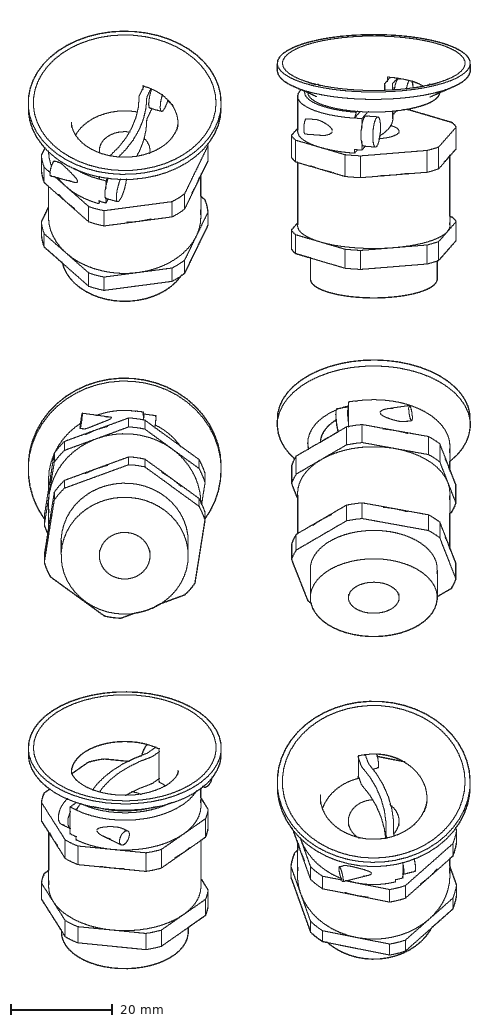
import cadquery as cq
import math

total_height = 44.5
spigot_top = 7.08
lower_nut_top = 11.0
upper_nut_bottom = 26.0
upper_nut_top = 30.5
clamp_body_top = 38.5
clamp_axis_height = 34.5

spigot_radius = 12.5
body_radius = 15.0
cable_hole_radius = 5.0
clamp_bore_radius = 10.5
shoulder_width = 1.4
shoulder_angle = math.radians(30)
nut_sides = 6
nut_across_flats = 2 * body_radius
nut_corner_radius = 16.45

trumpet_radius = 19.0
trumpet_rim_height = 1.5
trumpet_land_width = 1.02
outer_cone_angle = math.radians(29)
inner_cone_angle = math.radians(26)
neck_radius = 13.0
throat_curve_radius = 3.0

clamp_angle = 30
saddle_thickness = 1.5
saddle_height = 6.5
saddle_bow = 1.5
saddle_half_chord = 8.4
screw_offset = 12.73
screw_radius = 1.5
screw_tip_reach = 10.5
screw_head_radius = 3.0
screw_head_height = 2.4


def cylinder(radius, bottom, top):
    """Upright cylinder on the part axis."""
    return cq.Workplane("XY").workplane(offset=bottom).circle(radius).extrude(top - bottom)


def nut(bottom, top):
    """Hexagon nut with flats facing +Y and -Y and rounded corners."""
    across_corners = nut_across_flats / math.cos(math.pi / nut_sides)
    hexagon = (
        cq.Workplane("XY")
        .workplane(offset=bottom)
        .polygon(nut_sides, across_corners)
        .extrude(top - bottom)
    )
    return hexagon.intersect(cylinder(nut_corner_radius, bottom, top))


def clamp_body():
    """Hollow half cylinder with a sloped shoulder, on the -X side of the clamping plane."""
    shoulder_height = shoulder_width * math.tan(shoulder_angle)
    shell = cylinder(body_radius, upper_nut_top, clamp_body_top)
    shell = shell.faces(">Z").chamfer(shoulder_height, shoulder_width)
    shell = shell.cut(cylinder(clamp_bore_radius, upper_nut_top, clamp_body_top))
    half_space = (
        cq.Workplane("XY")
        .workplane(offset=upper_nut_top)
        .center(-body_radius, 0)
        .rect(2 * body_radius, 2 * body_radius)
        .extrude(clamp_body_top - upper_nut_top)
    )
    return shell.intersect(half_space)


def flare(cone_angle, cone_edge, bore_radius, curve_radius):
    """Start, middle and end of the arc that turns a vertical wall outwards, tangent to a cone.

    The cone rises at cone_angle to its upper edge, given as a (radius, height) pair.
    """
    edge_radius, edge_height = cone_edge
    full_turn = math.pi / 2 - cone_angle
    end_radius = bore_radius + curve_radius * (1 - math.cos(full_turn))
    end_height = edge_height - (edge_radius - end_radius) * math.tan(cone_angle)
    start_height = end_height - curve_radius * math.sin(full_turn)
    middle = (
        bore_radius + curve_radius * (1 - math.cos(full_turn / 2)),
        start_height + curve_radius * math.sin(full_turn / 2),
    )
    return (bore_radius, start_height), middle, (end_radius, end_height)


def trumpet():
    """Flared ring: cones outside and inside that run through tangent arcs into neck and throat."""
    outer_edge = (trumpet_radius, total_height - trumpet_rim_height)
    inner_edge = (trumpet_radius - trumpet_land_width, total_height)
    cone_drop = (trumpet_radius - neck_radius) * math.tan(outer_cone_angle)
    arc_rise = math.cos(outer_cone_angle) - (1 - math.sin(outer_cone_angle)) * math.tan(outer_cone_angle)
    neck_curve_radius = (total_height - trumpet_rim_height - cone_drop - clamp_body_top) / arc_rise
    neck_start, neck_middle, neck_end = flare(
        outer_cone_angle, outer_edge, neck_radius, neck_curve_radius
    )
    throat_start, throat_middle, throat_end = flare(
        inner_cone_angle, inner_edge, clamp_bore_radius, throat_curve_radius
    )
    profile = (
        cq.Workplane("XZ")
        .moveTo(*neck_start)
        .threePointArc(neck_middle, neck_end)
        .lineTo(*outer_edge)
        .lineTo(trumpet_radius, total_height)
        .lineTo(*inner_edge)
        .lineTo(*throat_end)
        .threePointArc(throat_middle, throat_start)
        .lineTo(clamp_bore_radius, clamp_body_top)
        .close()
    )
    return profile.revolve(360, (0, 0, 0), (0, 1, 0))


def saddle():
    """Bowed clamping strip, flat at both ends, lying against the cut face of the clamp body."""
    bow_radius = (saddle_half_chord**2 + saddle_bow**2) / (2 * saddle_bow)
    arc_centre = saddle_bow - bow_radius
    outer_radius = bow_radius + saddle_thickness
    outer_half_chord = math.sqrt(outer_radius**2 - (saddle_thickness - arc_centre) ** 2)
    return (
        cq.Workplane("XY")
        .workplane(offset=clamp_axis_height - saddle_height / 2)
        .moveTo(0, -body_radius)
        .lineTo(0, -saddle_half_chord)
        .threePointArc((saddle_bow, 0), (0, saddle_half_chord))
        .lineTo(0, body_radius)
        .lineTo(saddle_thickness, body_radius)
        .lineTo(saddle_thickness, outer_half_chord)
        .threePointArc((saddle_bow + saddle_thickness, 0), (saddle_thickness, -outer_half_chord))
        .lineTo(saddle_thickness, -body_radius)
        .close()
        .extrude(saddle_height)
    )


def screw(offset):
    """Clamp screw: head on the saddle, shank through the body with its tip standing out."""
    tip_plane = cq.Workplane("YZ", origin=(-screw_tip_reach, offset, clamp_axis_height))
    head_plane = cq.Workplane("YZ", origin=(saddle_thickness, offset, clamp_axis_height))
    shank = tip_plane.circle(screw_radius).extrude(screw_tip_reach + saddle_thickness)
    return shank.union(head_plane.circle(screw_head_radius).extrude(screw_head_height))


clamp = clamp_body().union(saddle())
for side in (-1, 1):
    clamp = clamp.union(screw(side * screw_offset))
clamp = clamp.rotate((0, 0, 0), (0, 0, 1), clamp_angle)

gland = cylinder(spigot_radius, 0, spigot_top)
gland = gland.union(nut(spigot_top, lower_nut_top))
gland = gland.union(cylinder(body_radius, lower_nut_top, upper_nut_bottom))
gland = gland.union(nut(upper_nut_bottom, upper_nut_top))
gland = gland.cut(cylinder(cable_hole_radius, 0, upper_nut_top))

result = gland.union(clamp).union(trumpet())